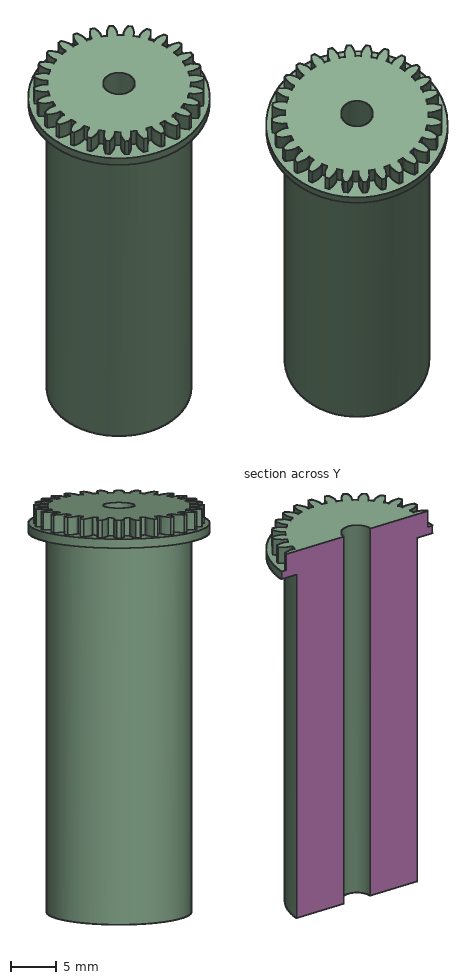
import cadquery as cq
import math

total_height = 45.48
gear_height = 1.98
flange_height = 1.0
shaft_height = total_height - gear_height - flange_height

shaft_diameter = 16.0
flange_diameter = 20.0
bore_diameter = 3.5

tooth_count = 28
module = 0.625
pressure_angle = math.radians(20)
dedendum = 1.4 * module
flank_point_count = 5

pitch_radius = module * tooth_count / 2
tip_radius = pitch_radius + module
root_radius = pitch_radius - dedendum
base_radius = pitch_radius * math.cos(pressure_angle)
tooth_pitch_angle = 2 * math.pi / tooth_count


def polar_point(radius, angle):
    return (radius * math.cos(angle), radius * math.sin(angle))


def involute_angle(radius):
    """Angle an involute has swept from its base circle out to a radius."""
    slope = math.acos(base_radius / radius)
    return math.tan(slope) - slope


def half_tooth_angle(radius):
    """Half the angle a tooth spans at a radius; a tooth fills half the pitch on the pitch circle."""
    half_angle_at_pitch = tooth_pitch_angle / 4
    return half_angle_at_pitch + involute_angle(pitch_radius) - involute_angle(radius)


def flank_points(center_angle, side):
    """Points along one involute flank, from the base circle out to the tip."""
    radius_step = (tip_radius - base_radius) / (flank_point_count - 1)
    points = []
    for index in range(flank_point_count):
        radius = base_radius + index * radius_step
        points.append(polar_point(radius, center_angle + side * half_tooth_angle(radius)))
    return points


def make_gear():
    """Gear with involute flanks that run radially from the base circle down to the root circle."""
    foot_angle = half_tooth_angle(base_radius)
    first_angle = math.pi / 2
    outline = cq.Workplane("XY").moveTo(*polar_point(root_radius, first_angle - foot_angle))
    for tooth in range(tooth_count):
        center_angle = first_angle + tooth * tooth_pitch_angle
        gap_angle = center_angle + tooth_pitch_angle / 2
        next_foot_angle = center_angle + tooth_pitch_angle - foot_angle
        rising_flank = flank_points(center_angle, -1)
        falling_flank = flank_points(center_angle, 1)[::-1]

        outline = outline.lineTo(*rising_flank[0])
        outline = outline.spline(rising_flank[1:], includeCurrent=True)
        outline = outline.threePointArc(polar_point(tip_radius, center_angle), falling_flank[0])
        outline = outline.spline(falling_flank[1:], includeCurrent=True)
        outline = outline.lineTo(*polar_point(root_radius, center_angle + foot_angle))
        outline = outline.threePointArc(
            polar_point(root_radius, gap_angle),
            polar_point(root_radius, next_foot_angle),
        )
    return outline.close().extrude(gear_height)


def make_cylinder(diameter, height):
    return cq.Workplane("XY").circle(diameter / 2).extrude(height)


shaft = make_cylinder(shaft_diameter, shaft_height)
flange = make_cylinder(flange_diameter, flange_height).translate((0, 0, shaft_height))
gear = make_gear().translate((0, 0, shaft_height + flange_height))
bore = make_cylinder(bore_diameter, total_height)

result = shaft.union(flange).union(gear).cut(bore)